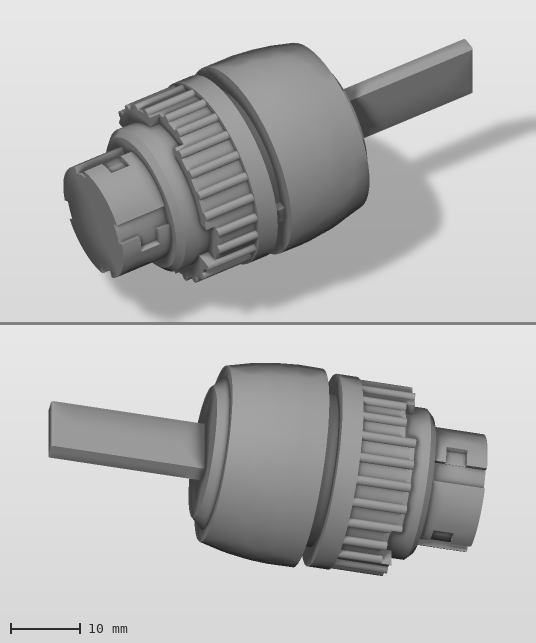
import cadquery as cq
import math

SPIGOT_FRONT = 0.0
COLLAR_FRONT = 7.95
NUT_FRONT = 11.5
NOTCH_FLOOR = 13.0
NUT_BACK = 19.45
FLANGE_BACK = 22.5
KNOB_FRONT = 24.55
KNOB_SHOULDER = 38.45
KNOB_BACK = 40.0
BLADE_END = 62.5

SPIGOT_R = 17.1 / 2
COLLAR_R = 22.0 / 2
NECK_R = 22.3 / 2
FLANGE_R = 28.0 / 2
KNOB_R = 29.0 / 2
KNOB_SHOULDER_R = 25.6 / 2
CAP_BASE_R = 22.0 / 2
CAP_TOP_R = 19.1 / 2
COLLAR_CHAMFER = 0.95

KNOB_CREST = 26.9

RIB_COUNT = 25
FIRST_RIB_ANGLE = -90.0
RIB_R = 0.7
NUT_TIP_R = 13.75
NUT_ROOT_R = 12.95
NOTCH_WIDTH = 7.0

SLOT_COUNT = 4
SLOT_WIDTH = 3.0
SLOT_FLOOR_R = 7.5
SLOT_ANGLE = 118.0
CATCH_FLOOR_R = 7.6
CATCH_ANGLE = 90.0
CATCH_FRONT = 3.0
CATCH_BACK = 6.05

KEY_REACH = 12.4
KEY_WIDTH = 2.5

BLADE_THICKNESS = 2.5
BLADE_HEIGHT = 8.9
BLADE_ROUNDING = 0.4


def section(y):
    """Sketch plane across the axis at y: local x is X, local y is Z, extrusion runs to -Y."""
    return cq.Workplane("XZ", origin=(0, y, 0))


def cylinder(radius, front, back):
    return section(back).circle(radius).extrude(back - front)


def box(size_x, size_z, front, back, centre_x=0.0):
    return section(back).center(centre_x, 0).rect(size_x, size_z).extrude(back - front)


def turn(shape, angle):
    """Turn a shape about the Y axis, from +X towards +Z."""
    return shape.rotate((0, 0, 0), (0, -1, 0), angle)


def make_knob():
    """Barrel with one arc as its side, and a conical cap on its back."""
    run = KNOB_SHOULDER - KNOB_CREST
    drop = KNOB_R - KNOB_SHOULDER_R
    curve_r = (run ** 2 + drop ** 2) / (2 * drop)
    front_r = KNOB_R - curve_r + math.sqrt(curve_r ** 2 - (KNOB_CREST - KNOB_FRONT) ** 2)
    profile = (
        cq.Workplane("XY")
        .moveTo(0, KNOB_FRONT)
        .lineTo(front_r, KNOB_FRONT)
        .threePointArc((KNOB_R, KNOB_CREST), (KNOB_SHOULDER_R, KNOB_SHOULDER))
        .lineTo(CAP_BASE_R, KNOB_SHOULDER)
        .lineTo(CAP_TOP_R, KNOB_BACK)
        .lineTo(0, KNOB_BACK)
        .close()
    )
    return profile.revolve(360, (0, 0, 0), (0, 1, 0))


def make_nut():
    """Ribbed ring with a wrench notch on each of its four sides."""
    nut = cylinder(NUT_ROOT_R, NUT_FRONT, NUT_BACK)
    ribs = (
        section(NUT_BACK)
        .polarArray(NUT_TIP_R - RIB_R, FIRST_RIB_ANGLE, 360, RIB_COUNT)
        .circle(RIB_R)
        .extrude(NUT_BACK - NUT_FRONT)
    )
    nut = nut.union(ribs)
    span = 2 * FLANGE_R
    nut = nut.cut(box(NOTCH_WIDTH, span, NUT_FRONT, NOTCH_FLOOR))
    return nut.cut(box(span, NOTCH_WIDTH, NUT_FRONT, NOTCH_FLOOR))


def make_slot():
    """One bayonet slot with its side catch, whose floor is a little higher than the slot floor."""
    slot = turn(box(SPIGOT_R, SLOT_WIDTH, SPIGOT_FRONT, COLLAR_FRONT, centre_x=SPIGOT_R), SLOT_ANGLE)
    slot = slot.cut(cylinder(SLOT_FLOOR_R, SPIGOT_FRONT, COLLAR_FRONT))
    reach = 2 * SPIGOT_R
    end = math.radians(CATCH_ANGLE)
    start = math.radians(SLOT_ANGLE)
    catch = (
        section(CATCH_BACK)
        .moveTo(0, 0)
        .lineTo(reach * math.cos(end), reach * math.sin(end))
        .lineTo(reach * math.cos(start), reach * math.sin(start))
        .close()
        .extrude(CATCH_BACK - CATCH_FRONT)
        .cut(cylinder(CATCH_FLOOR_R, CATCH_FRONT, CATCH_BACK))
    )
    return slot.union(catch)


def make_spigot():
    spigot = cylinder(SPIGOT_R, SPIGOT_FRONT, COLLAR_FRONT)
    slot = make_slot()
    for i in range(SLOT_COUNT):
        spigot = spigot.cut(turn(slot, i * 360 / SLOT_COUNT))
    return spigot


def make_collar():
    collar = cylinder(COLLAR_R, COLLAR_FRONT, NUT_BACK)
    return collar.faces("<Y").chamfer(COLLAR_CHAMFER)


def make_neck():
    neck = cylinder(NECK_R, FLANGE_BACK, KNOB_FRONT)
    key = box(KEY_REACH, KEY_WIDTH, FLANGE_BACK, KNOB_FRONT, centre_x=KEY_REACH / 2)
    return neck.union(key)


def make_blade():
    blade = box(BLADE_THICKNESS, BLADE_HEIGHT, KNOB_BACK, BLADE_END)
    return blade.faces(">Y").edges("|Z").fillet(BLADE_ROUNDING)


result = (
    make_spigot()
    .union(make_collar())
    .union(make_nut())
    .union(cylinder(FLANGE_R, NUT_BACK, FLANGE_BACK))
    .union(make_neck())
    .union(make_knob())
    .union(make_blade())
)